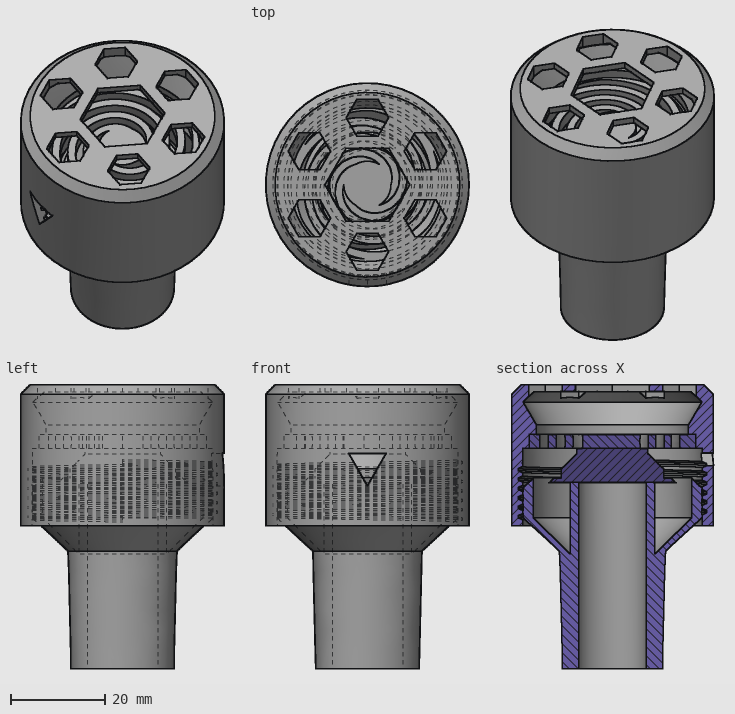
import cadquery as cq
import math

TOTAL_HEIGHT = 60.34
CAP_HEIGHT = 30.0
CAP_BOTTOM = TOTAL_HEIGHT - CAP_HEIGHT

CAP_RADIUS = 43.2 / 2
CAP_CHAMFER = 2.0
PLATE_THICKNESS = 1.5
PLATE_UNDERSIDE = TOTAL_HEIGHT - PLATE_THICKNESS
CAVITY_RADIUS = 38.2 / 2
CAVITY_CHAMFER = 2.2
LIP_RADIUS = 32.61 / 2
LIP_HEIGHT = 2.0
FUNNEL_ANGLE = 60.0
THREAD_MINOR_RADIUS = 38.42 / 2
THREAD_MAJOR_RADIUS = 40.26 / 2
THREAD_PITCH = 2.0
THREAD_TURNS = 6
THREAD_START = 1.5
THREAD_ROOT_WIDTH = 0.4
THREAD_MOUTH_WIDTH = 1.4
THREAD_CUT_OVERLAP = 0.2

CAVITY_WALL_TOP = PLATE_UNDERSIDE - CAVITY_CHAMFER
LIP_TOP = CAVITY_WALL_TOP - (CAVITY_RADIUS - LIP_RADIUS) * math.tan(math.radians(FUNNEL_ANGLE))
LIP_BOTTOM = LIP_TOP - LIP_HEIGHT

CENTRE_HEX_DIAMETER = 18.0
VENT_HEX_DIAMETER = 9.0
VENT_COUNT = 6
FIRST_VENT_ANGLE = 30.0
VENT_CIRCLE_RADIUS = 14.22

WINDOW_SIDE = 8.0
WINDOW_TOP = 45.8
WINDOW_HEIGHT = WINDOW_SIDE * math.sin(math.radians(60))

SPRING_RADIUS = 35.61 / 2
SPRING_THICKNESS = 3.0
SPRING_TOP = LIP_BOTTOM
SPRING_BOTTOM = SPRING_TOP - SPRING_THICKNESS
SPRING_RIM_INNER_RADIUS = 15.75
SPRING_HUB_RADIUS = 10.0 / 2
SPRING_ARMS = 3
SPIRAL_PITCH = 10.0
SLOT_ANGLE = 60.0
FIRST_SLOT_ANGLE = 60.0
SPIRAL_STEPS = 40

PISTON_HUB_RADIUS = 16.0 / 2
PISTON_SHOULDER_RADIUS = 22.4 / 2
PISTON_FLANGE_RADIUS = 25.4 / 2
PISTON_RADIUS = 27.5 / 2
PISTON_CONE_BOTTOM = 42.47
PISTON_SHOULDER_HEIGHT = 1.9
PISTON_CONE_TOP = PISTON_CONE_BOTTOM + PISTON_SHOULDER_RADIUS - PISTON_HUB_RADIUS
PISTON_FLANGE_TOP = PISTON_CONE_BOTTOM - PISTON_SHOULDER_HEIGHT
PISTON_BOTTOM = PISTON_FLANGE_TOP - (PISTON_RADIUS - PISTON_FLANGE_RADIUS)

TAPER_BOTTOM_RADIUS = 11.0
TAPER_TOP_RADIUS = 11.6
TAPER_HEIGHT = 25.0
CONE_TOP_RADIUS = 17.35
CONE_SLOPE = (CONE_TOP_RADIUS - TAPER_TOP_RADIUS) / (CAP_BOTTOM - TAPER_HEIGHT)
COLLAR_RADIUS = THREAD_MINOR_RADIUS
COLLAR_BOTTOM = CAP_BOTTOM + (COLLAR_RADIUS - CONE_TOP_RADIUS) / CONE_SLOPE
COLLAR_TOP = 40.6
CHAMBER_RADIUS = 17.0
COLLAR_CHAMFER = COLLAR_RADIUS - CHAMBER_RADIUS
SEAT_OUTER_RADIUS = 18.67 / 2
BORE_RADIUS = 15.0 / 2
CHAMBER_FUNNEL_TOP = COLLAR_BOTTOM
CHAMBER_FLOOR = CHAMBER_FUNNEL_TOP - (CHAMBER_RADIUS - SEAT_OUTER_RADIUS)


def revolve(profile):
    """Turn a closed list of (radius, height) points around the Z axis."""
    return cq.Workplane("XZ").polyline(profile).close().revolve(360, (0, 0), (0, 1))


def make_thread_groove():
    """Helical groove with a trapezoid section, to be cut from the bore of the cap."""
    mouth_radius = THREAD_MINOR_RADIUS - THREAD_CUT_OVERLAP
    path = cq.Wire.makeHelix(THREAD_PITCH, THREAD_PITCH * THREAD_TURNS, THREAD_MINOR_RADIUS)
    section = [
        (mouth_radius, -THREAD_MOUTH_WIDTH / 2),
        (THREAD_MAJOR_RADIUS, -THREAD_ROOT_WIDTH / 2),
        (THREAD_MAJOR_RADIUS, THREAD_ROOT_WIDTH / 2),
        (mouth_radius, THREAD_MOUTH_WIDTH / 2),
    ]
    groove = cq.Workplane("XZ").polyline(section).close().sweep(cq.Workplane(path), isFrenet=True)
    return groove.translate((0, 0, CAP_BOTTOM + THREAD_START))


def make_window():
    """Triangular prism through the wall on the -Y side."""
    corners = [(-WINDOW_SIDE / 2, WINDOW_TOP), (WINDOW_SIDE / 2, WINDOW_TOP), (0, WINDOW_TOP - WINDOW_HEIGHT)]
    return cq.Workplane("XZ").polyline(corners).close().extrude(CAP_RADIUS)


def make_cap():
    cap = revolve([
        (0, PLATE_UNDERSIDE),
        (CAVITY_RADIUS - CAVITY_CHAMFER, PLATE_UNDERSIDE),
        (CAVITY_RADIUS, CAVITY_WALL_TOP),
        (LIP_RADIUS, LIP_TOP),
        (LIP_RADIUS, LIP_BOTTOM),
        (SPRING_RADIUS, LIP_BOTTOM),
        (SPRING_RADIUS, SPRING_BOTTOM),
        (THREAD_MINOR_RADIUS, SPRING_BOTTOM),
        (THREAD_MINOR_RADIUS, CAP_BOTTOM),
        (CAP_RADIUS, CAP_BOTTOM),
        (CAP_RADIUS, TOTAL_HEIGHT - CAP_CHAMFER),
        (CAP_RADIUS - CAP_CHAMFER, TOTAL_HEIGHT),
        (0, TOTAL_HEIGHT),
    ])
    plate = cq.Workplane("XY", origin=(0, 0, LIP_TOP))
    depth = TOTAL_HEIGHT - LIP_TOP
    centre_hex = plate.polygon(6, CENTRE_HEX_DIAMETER).extrude(depth)
    cap = cap.cut(centre_hex)
    for i in range(VENT_COUNT):
        angle = math.radians(FIRST_VENT_ANGLE + i * 360 / VENT_COUNT)
        x = VENT_CIRCLE_RADIUS * math.cos(angle)
        y = VENT_CIRCLE_RADIUS * math.sin(angle)
        vent_base = cq.Workplane("XY", origin=(x, y, CAVITY_WALL_TOP))
        vent = vent_base.polygon(6, VENT_HEX_DIAMETER).extrude(depth)
        cap = cap.cut(vent)
    cap = cap.cut(make_thread_groove())
    return cap.cut(make_window())


def make_spiral_slot():
    """Slot between two arms: two Archimedean spirals joined by arcs at the hub and the rim."""
    growth = SPRING_RIM_INNER_RADIUS - SPRING_HUB_RADIUS
    turn = 360 * growth / SPIRAL_PITCH

    def point(radius, angle):
        direction = math.radians(angle)
        return cq.Vector(radius * math.cos(direction), radius * math.sin(direction), SPRING_BOTTOM)

    def spiral(start_angle):
        steps = [i / SPIRAL_STEPS for i in range(SPIRAL_STEPS + 1)]
        return cq.Edge.makeSpline(
            [point(SPRING_HUB_RADIUS + growth * t, start_angle + turn * t) for t in steps]
        )

    def arc(radius, start_angle):
        angles = (start_angle, start_angle + SLOT_ANGLE / 2, start_angle + SLOT_ANGLE)
        return cq.Edge.makeThreePointArc(*[point(radius, angle) for angle in angles])

    outline = cq.Wire.assembleEdges([
        spiral(0),
        arc(SPRING_RIM_INNER_RADIUS, turn),
        spiral(SLOT_ANGLE),
        arc(SPRING_HUB_RADIUS, 0),
    ])
    return cq.Workplane(cq.Solid.extrudeLinear(outline, [], cq.Vector(0, 0, SPRING_THICKNESS)))


def make_spring():
    base = cq.Workplane("XY", origin=(0, 0, SPRING_BOTTOM))
    spring = base.circle(SPRING_RADIUS).extrude(SPRING_THICKNESS)
    slot = make_spiral_slot()
    for i in range(SPRING_ARMS):
        angle = FIRST_SLOT_ANGLE + i * 360 / SPRING_ARMS
        spring = spring.cut(slot.rotate((0, 0, 0), (0, 0, 1), angle))
    return spring


def make_piston():
    """Stepped disc between the spring and the seat tube of the body."""
    return revolve([
        (0, PISTON_BOTTOM),
        (PISTON_RADIUS, PISTON_BOTTOM),
        (PISTON_FLANGE_RADIUS, PISTON_FLANGE_TOP),
        (PISTON_SHOULDER_RADIUS, PISTON_FLANGE_TOP),
        (PISTON_SHOULDER_RADIUS, PISTON_CONE_BOTTOM),
        (PISTON_HUB_RADIUS, PISTON_CONE_TOP),
        (PISTON_HUB_RADIUS, SPRING_BOTTOM),
        (0, SPRING_BOTTOM),
    ])


def make_body():
    """Tapered tube that flares into a collar, with a seat tube in the middle of the chamber."""
    return revolve([
        (BORE_RADIUS, 0),
        (TAPER_BOTTOM_RADIUS, 0),
        (TAPER_TOP_RADIUS, TAPER_HEIGHT),
        (CONE_TOP_RADIUS, CAP_BOTTOM),
        (COLLAR_RADIUS, COLLAR_BOTTOM),
        (COLLAR_RADIUS, COLLAR_TOP - COLLAR_CHAMFER),
        (CHAMBER_RADIUS, COLLAR_TOP),
        (CHAMBER_RADIUS, CHAMBER_FUNNEL_TOP),
        (SEAT_OUTER_RADIUS, CHAMBER_FLOOR),
        (SEAT_OUTER_RADIUS, PISTON_BOTTOM),
        (BORE_RADIUS, PISTON_BOTTOM),
    ])


cap = make_cap()
spring = make_spring()
piston = make_piston()
body = make_body()

result = cq.Compound.makeCompound([cap.val(), spring.val(), piston.val(), body.val()])